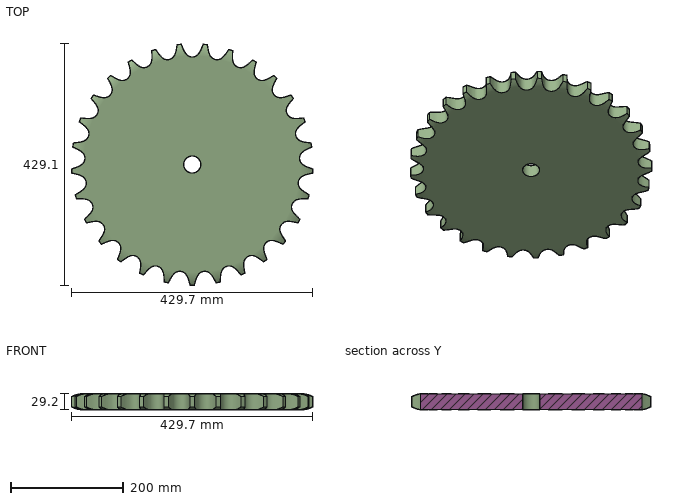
import cadquery as cq
import math

tooth_count = 29
tip_diameter = 430.0
pitch_diameter = 410.8
roller_diameter = 27.5
thickness = 29.2
bore_diameter = 30.0

seat_radius = 0.505 * roller_diameter
seat_half_angle = math.radians(52)
working_radius = 1.3 * roller_diameter
working_angle = math.radians(16)
face_diameter = 387.5
side_relief_radius = 44.3

mouth_overrun = 4.5

tip_radius = tip_diameter / 2
face_radius = face_diameter / 2
pitch_radius = pitch_diameter / 2
pitch_angle = 360 / tooth_count
half_thickness = thickness / 2
first_gap_angle = 90


def relief_drop(radius):
    """How far the rounded tooth side lies below the flat face at a distance from the axis."""
    return side_relief_radius - math.sqrt(side_relief_radius**2 - (radius - face_radius) ** 2)


def side_profile_disc():
    """Disc with the width of the teeth: flat faces that curve inward towards the rim."""
    middle_radius = (face_radius + tip_radius) / 2
    middle_z = half_thickness - relief_drop(middle_radius)
    tip_z = half_thickness - relief_drop(tip_radius)
    return (
        cq.Workplane("XZ")
        .moveTo(0, -half_thickness)
        .lineTo(face_radius, -half_thickness)
        .threePointArc((middle_radius, -middle_z), (tip_radius, -tip_z))
        .lineTo(tip_radius, tip_z)
        .threePointArc((middle_radius, middle_z), (face_radius, half_thickness))
        .lineTo(0, half_thickness)
        .close()
        .revolve(360, (0, 0, 0), (0, 1, 0))
    )


def polar_point(center, radius, angle):
    """Point on a circle, with the angle measured from the direction towards the axis."""
    return (center[0] - radius * math.cos(angle), center[1] + radius * math.sin(angle))


def mirrored(point):
    return (point[0], -point[1])


def gap_cutter():
    """Prism of one tooth gap on +X: roller seat, then a working arc and a straight flank per side."""
    seat_center = (pitch_radius, 0)
    seat_bottom = polar_point(seat_center, seat_radius, 0)
    seat_end = polar_point(seat_center, seat_radius, seat_half_angle)

    working_center = polar_point(seat_center, seat_radius - working_radius, seat_half_angle)
    flank_angle = seat_half_angle + working_angle
    working_middle = polar_point(working_center, working_radius, seat_half_angle + working_angle / 2)
    working_end = polar_point(working_center, working_radius, flank_angle)

    mouth_x = tip_radius + mouth_overrun
    mouth = (mouth_x, working_end[1] + (mouth_x - working_end[0]) / math.tan(flank_angle))

    return (
        cq.Workplane("XY")
        .workplane(offset=-thickness)
        .moveTo(*mirrored(mouth))
        .lineTo(*mirrored(working_end))
        .threePointArc(mirrored(working_middle), mirrored(seat_end))
        .threePointArc(seat_bottom, seat_end)
        .threePointArc(working_middle, working_end)
        .lineTo(*mouth)
        .close()
        .extrude(2 * thickness)
    )


def cut_gaps(body):
    cutter = gap_cutter()
    for index in range(tooth_count):
        angle = first_gap_angle + index * pitch_angle
        body = body.cut(cutter.rotate((0, 0, 0), (0, 0, 1), angle))
    return body


def cut_bore(body):
    return body.faces(">Z").workplane(origin=(0, 0, 0)).hole(bore_diameter)


result = cut_bore(cut_gaps(side_profile_disc()))